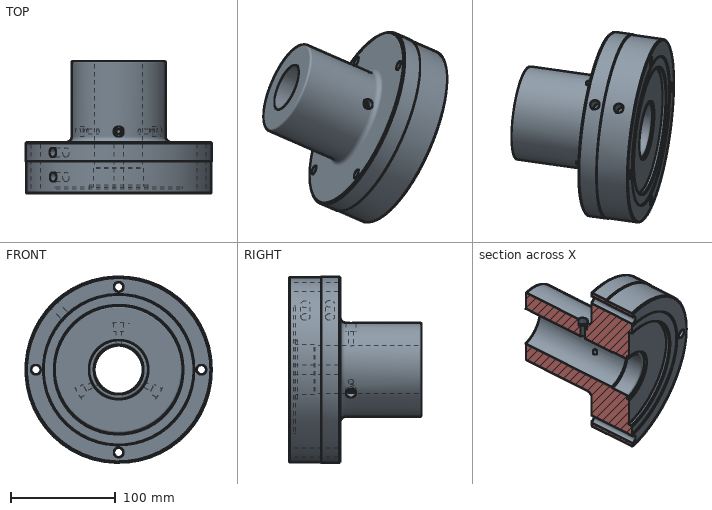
import cadquery as cq
import math


total_length = 126.5
rear_face_y = 49.1
joint_y = 30.6

rear_flange_radius = 89.0
front_flange_radius = 88.5
front_chamfer = 0.9
joint_chamfer = rear_flange_radius - front_flange_radius
rear_chamfer = 1.5

hub_radius = 45.0
hub_root_fillet = 5.0
hub_end_round = 2.0

face_step_radius = 72.3
face_step_depth = 0.7
recess_radius = 61.0
recess_chamfer = 0.9
disc_depth = 4.1
disc_round = 2.1

mouth_radius = 28.1
mouth_chamfer = 0.4
ring_crest_radius = 25.8
ring_crest_depth = 5.9
ring_inner_round = 2.0

front_bore_radius = ring_crest_radius - ring_inner_round
rear_bore_radius = 23.0
bore_step_y = 23.9

bolt_hole_count = 4
bolt_circle_radius = 79.0
bolt_hole_radius = 4.5

rim_hole_angle = 135
rim_hole_radius = 4.5
rim_hole_depth = 17.8
rim_hole_places = (15.7, 39.2)

port_count = 3
port_first_angle = 90
port_y = 59.1
port_radius = 2.5
port_counterbore_radius = 4.8
port_counterbore_depth = 8.4

DIAGONAL = math.sqrt(0.5)


def arc_middle(center, radius, radial_sign, axial_sign):
    """Middle point of a quarter arc, on the diagonal given by the two signs."""
    reach = radius * DIAGONAL
    return (center[0] + radial_sign * reach, center[1] + axial_sign * reach)


def turned_body():
    """Revolve the (radius, Y) half section about the Y axis."""
    recess_mouth_radius = recess_radius + recess_chamfer
    disc_edge_radius = recess_radius - disc_round
    disc_edge_y = disc_depth + disc_round
    ring_outer_round = mouth_radius - ring_crest_radius

    disc_round_center = (disc_edge_radius, disc_edge_y)
    ring_outer_center = (ring_crest_radius, ring_crest_depth + ring_outer_round)
    ring_inner_center = (ring_crest_radius, ring_crest_depth + ring_inner_round)
    root_center = (hub_radius + hub_root_fillet, rear_face_y + hub_root_fillet)
    hub_end_center = (hub_radius - hub_end_round, total_length - hub_end_round)

    section = (
        cq.Workplane("XY")
        .moveTo(rear_bore_radius, total_length)
        .lineTo(rear_bore_radius, bore_step_y + front_bore_radius - rear_bore_radius)
        .lineTo(front_bore_radius, bore_step_y)
        .lineTo(front_bore_radius, ring_inner_center[1])
        .threePointArc(
            arc_middle(ring_inner_center, ring_inner_round, -1, -1),
            (ring_crest_radius, ring_crest_depth),
        )
        .threePointArc(
            arc_middle(ring_outer_center, ring_outer_round, 1, -1),
            (mouth_radius, ring_outer_center[1]),
        )
        .lineTo(mouth_radius, disc_depth + mouth_chamfer)
        .lineTo(mouth_radius + mouth_chamfer, disc_depth)
        .lineTo(disc_edge_radius, disc_depth)
        .threePointArc(
            arc_middle(disc_round_center, disc_round, 1, -1),
            (recess_radius, disc_edge_y),
        )
        .lineTo(recess_radius, face_step_depth + recess_chamfer)
        .lineTo(recess_mouth_radius, face_step_depth)
        .lineTo(face_step_radius - face_step_depth, face_step_depth)
        .lineTo(face_step_radius, 0)
        .lineTo(front_flange_radius - front_chamfer, 0)
        .lineTo(front_flange_radius, front_chamfer)
        .lineTo(front_flange_radius, joint_y)
        .lineTo(rear_flange_radius, joint_y + joint_chamfer)
        .lineTo(rear_flange_radius, rear_face_y - rear_chamfer)
        .lineTo(rear_flange_radius - rear_chamfer, rear_face_y)
        .lineTo(root_center[0], rear_face_y)
        .threePointArc(
            arc_middle(root_center, hub_root_fillet, -1, -1),
            (hub_radius, root_center[1]),
        )
        .lineTo(hub_radius, hub_end_center[1])
        .threePointArc(
            arc_middle(hub_end_center, hub_end_round, 1, 1),
            (hub_end_center[0], total_length),
        )
        .close()
    )
    return section.revolve(360, (0, 0, 0), (0, 1, 0))


def radial_cylinder(angle, y, radius, inner_end, outer_end):
    """Cylinder pointing away from the Y axis, at an angle measured from +X towards +Z."""
    outward = cq.Vector(math.cos(math.radians(angle)), 0, math.sin(math.radians(angle)))
    start = outward * inner_end + cq.Vector(0, y, 0)
    return cq.Workplane(cq.Solid.makeCylinder(radius, outer_end - inner_end, start, outward))


def cut_bolt_holes(body):
    for index in range(bolt_hole_count):
        angle = 2 * math.pi * index / bolt_hole_count
        start = cq.Vector(bolt_circle_radius * math.cos(angle), 0, bolt_circle_radius * math.sin(angle))
        hole = cq.Solid.makeCylinder(bolt_hole_radius, rear_face_y, start, cq.Vector(0, 1, 0))
        body = body.cut(cq.Workplane(hole))
    return body


def cut_rim_holes(body):
    floor = rear_flange_radius - rim_hole_depth
    for y in rim_hole_places:
        hole = radial_cylinder(rim_hole_angle, y, rim_hole_radius, floor, rear_flange_radius)
        body = body.cut(hole)
    return body


def cut_hub_ports(body):
    counterbore_floor = hub_radius - port_counterbore_depth
    port_start = rear_bore_radius / 2
    for index in range(port_count):
        angle = port_first_angle + 360 * index / port_count
        body = body.cut(radial_cylinder(angle, port_y, port_radius, port_start, hub_radius))
        body = body.cut(
            radial_cylinder(angle, port_y, port_counterbore_radius, counterbore_floor, hub_radius)
        )
    return body


result = cut_hub_ports(cut_rim_holes(cut_bolt_holes(turned_body())))